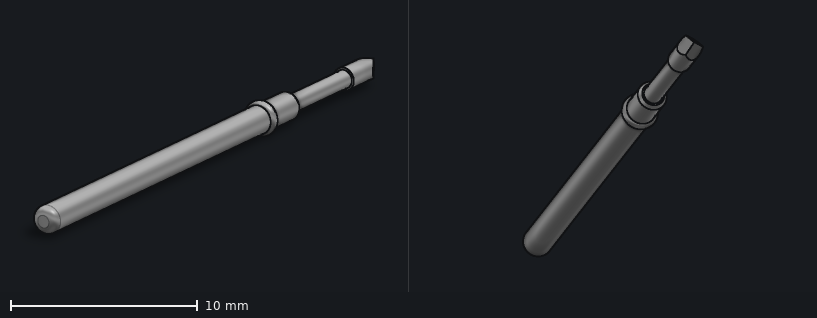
import cadquery as cq
import math

total_length = 32.3
tip_y = total_length / 2
tail_y = -total_length / 2

barrel_radius = 0.8
barrel_tail_fillet = 0.45
mouth_y = tip_y - 8.33
mouth_chamfer = 0.2

ring_radius = 1.0
ring_width = 0.58
ring_center_y = tip_y - 11.05

shaft_radius = 0.52
head_radius = 0.65
head_back_y = tip_y - 2.97

facet_count = 3
facet_angle = 30.0


def turned_body():
    """Barrel, press ring and plunger as one revolved profile (radius along Z)."""
    ring_back_y = ring_center_y - ring_width / 2
    ring_front_y = ring_center_y + ring_width / 2
    fillet_center_radius = barrel_radius - barrel_tail_fillet
    fillet_reach = barrel_tail_fillet * math.sqrt(0.5)
    fillet_middle = (
        fillet_center_radius + fillet_reach,
        tail_y + barrel_tail_fillet - fillet_reach,
    )
    profile = (
        cq.Workplane("ZY")
        .moveTo(0, tail_y)
        .lineTo(fillet_center_radius, tail_y)
        .threePointArc(fillet_middle, (barrel_radius, tail_y + barrel_tail_fillet))
        .lineTo(barrel_radius, ring_back_y)
        .threePointArc((ring_radius, ring_center_y), (barrel_radius, ring_front_y))
        .lineTo(barrel_radius, mouth_y - mouth_chamfer)
        .lineTo(barrel_radius - mouth_chamfer, mouth_y)
        .lineTo(shaft_radius, mouth_y)
        .lineTo(shaft_radius, head_back_y)
        .lineTo(head_radius, head_back_y)
        .lineTo(head_radius, tip_y)
        .lineTo(0, tip_y)
        .close()
    )
    return profile.revolve(360, (0, 0, 0), (0, 1, 0))


def facet_cutter(turn):
    """Block whose sloped face passes through the apex, turned about the Y axis."""
    size = 4 * head_radius
    apex = (0, tip_y, 0)
    block = cq.Workplane("XY").box(size, 2 * size, size, centered=(False, True, True))
    block = block.rotate((0, 0, 0), (0, 0, 1), facet_angle).translate(apex)
    return block.rotate((0, 0, 0), (0, 1, 0), turn)


result = turned_body()
for index in range(facet_count):
    result = result.cut(facet_cutter(index * 360 / facet_count))